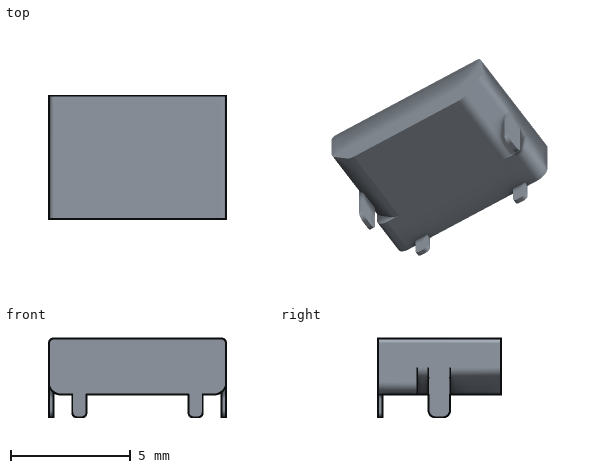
import cadquery as cq

body_length = 7.4
body_width = 5.15
body_height = 2.35
top_edge_radius = 0.2
lower_edge_radius = 0.5

front_stretch = 1.65
bevel_size = 0.9

leg_drop = 0.95
leg_thickness = 0.2
front_leg_width = 0.6
front_leg_spacing = 4.85
front_leg_tip_radius = 0.2
side_leg_width = 0.91
side_leg_setback = 2.11
side_leg_tip_radius = 0.3

half_length = body_length / 2
front_y = -body_width / 2
back_y = body_width / 2
bevel_y = front_y + front_stretch


def block(x_min, x_max, y_min, y_max, z_min, z_max):
    """Axis-aligned block between the given limits."""
    size = (x_max - x_min, y_max - y_min, z_max - z_min)
    return cq.Workplane("XY").box(*size, centered=False).translate((x_min, y_min, z_min))


def make_front_stretch():
    """Front part of the body, with all four long edges rounded."""
    stretch = block(-half_length, half_length, front_y, bevel_y, 0, body_height)
    stretch = stretch.edges("|Y and >Z").fillet(top_edge_radius)
    return stretch.edges("|Y and <Z").fillet(lower_edge_radius)


def make_bevelled_stretch():
    """Rear part of the body, with bevelled lower edges blended into its faces."""
    stretch = block(-half_length, half_length, bevel_y, back_y, 0, body_height)
    stretch = stretch.edges("|Y and <Z").chamfer(bevel_size)
    stretch = stretch.edges("|Y and (not >Z)").fillet(lower_edge_radius)
    return stretch.edges("|Y and >Z").fillet(top_edge_radius)


def make_front_leg(x_center):
    """Round-tipped leg flush with the front face."""
    leg = block(
        x_center - front_leg_width / 2,
        x_center + front_leg_width / 2,
        front_y,
        front_y + leg_thickness,
        -leg_drop,
        lower_edge_radius,
    )
    return leg.edges("|Y and <Z").fillet(front_leg_tip_radius)


def make_side_leg(x_min):
    """Round-tipped leg flush with an end face, running up past the bevel."""
    leg_top = body_height - top_edge_radius
    leg_front = front_y + side_leg_setback
    leg_back = leg_front + side_leg_width
    leg = block(x_min, x_min + leg_thickness, leg_front, leg_back, -leg_drop, leg_top)
    return leg.edges("|X and <Z").fillet(side_leg_tip_radius)


result = make_front_stretch().union(make_bevelled_stretch())

for x_center in (-front_leg_spacing / 2, front_leg_spacing / 2):
    result = result.union(make_front_leg(x_center))

for x_min in (-half_length, half_length - leg_thickness):
    result = result.union(make_side_leg(x_min))

result = result.clean()